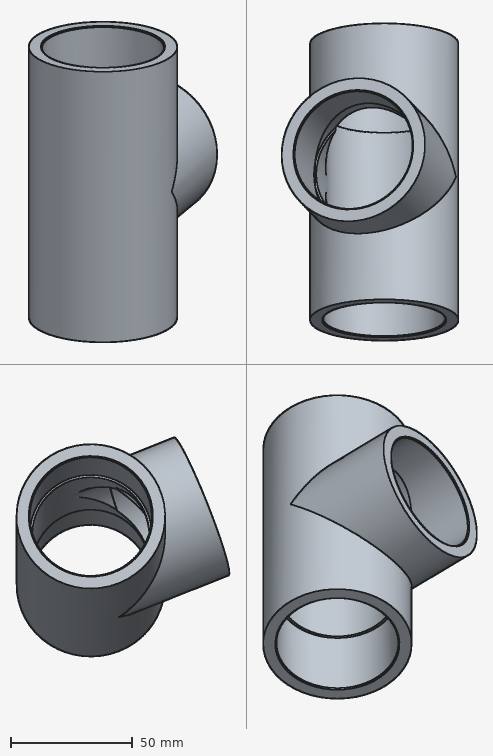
import cadquery as cq

run_length = 118.0
outer_diameter = 61.0
socket_diameter = 50.0
bore_diameter = 48.0
socket_depth = 30.9
rim_chamfer = 0.5
overall_depth = 79.5

half_run = run_length / 2
branch_reach = overall_depth - outer_diameter / 2


def mouth_plane(distance, direction):
    """Plane at an open end of the tee, facing inward along the pipe axis."""
    outward = cq.Vector(*direction)
    return cq.Plane(origin=outward * distance, xDir=(1, 0, 0), normal=-outward)


top_mouth = mouth_plane(half_run, (0, 0, 1))
bottom_mouth = mouth_plane(half_run, (0, 0, -1))
branch_mouth = mouth_plane(branch_reach, (0, 1, 0))


def cylinder(plane, diameter, length):
    """Cylinder from the plane's origin along its normal."""
    return cq.Workplane(plane).circle(diameter / 2).extrude(length)


def socket(plane):
    """Pipe socket cavity with a chamfered entry at the mouth."""
    socket_radius = socket_diameter / 2
    entry = cq.Solid.makeCone(
        socket_radius + rim_chamfer,
        socket_radius,
        rim_chamfer,
        pnt=plane.origin,
        dir=plane.zDir,
    )
    return cylinder(plane, socket_diameter, socket_depth).union(cq.Workplane(entry))


def branch_cavity():
    """Passage from the branch mouth to the run axis, with its socket."""
    return cylinder(branch_mouth, bore_diameter, branch_reach).union(socket(branch_mouth))


def make_run():
    """Straight vertical pipe with a socket at each end and a side opening for the branch."""
    run = cylinder(top_mouth, outer_diameter, run_length)
    run = run.cut(cylinder(top_mouth, bore_diameter, run_length))
    for mouth in (top_mouth, bottom_mouth):
        run = run.cut(socket(mouth))
    return run.cut(branch_cavity())


def make_branch():
    """Side pipe toward +Y, its inner end saddled onto the outside of the run."""
    branch = cylinder(branch_mouth, outer_diameter, branch_reach)
    branch = branch.cut(cylinder(top_mouth, outer_diameter, run_length))
    return branch.cut(branch_cavity())


run = make_run()
branch = make_branch()

result = cq.Compound.makeCompound([run.val(), branch.val()])